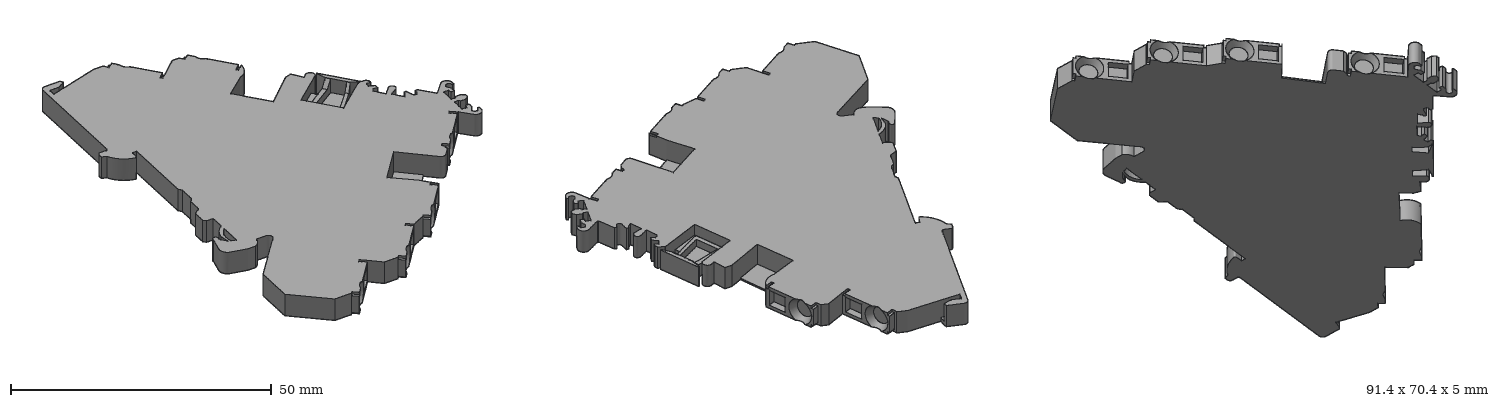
import cadquery as cq
import math

THICKNESS = 5.0
WEB = 0.4
FLANK_ANGLE = 40
FLANK_COS = math.cos(math.radians(FLANK_ANGLE))
FLANK_SIN = math.sin(math.radians(FLANK_ANGLE))

FACE_LENGTH = 11.4
LIP_DEPTH = 1.5
LIP_WIDTH = 0.55
LIP_RELIEF = 0.55
NICK_DEPTH = 1.6
TOOL_HOLE_START = 0.7
TOOL_HOLE_LENGTH = 3.8
TOOL_HOLE_HEIGHT = 3.5
TOOL_HOLE_DEPTH = 1.5
FUNNEL_CENTRE = 8.2
FUNNEL_MOUTH_R = 2.7
FUNNEL_FLOOR_R = 1.8
FUNNEL_DEPTH = 1.5

RIGHT, LEFT = 1, -1
TOP_TIER = (RIGHT, (12.5, 58.7))
UPPER_TIER = (RIGHT, (31.1, 43.0))
MIDDLE_TIER = (RIGHT, (40.2, 31.7))
LOWER_TIER = (RIGHT, (45.9, 17.7))
LEFT_MIDDLE_TIER = (LEFT, (-40.2, 31.7))
LEFT_LOWER_TIER = (LEFT, (-45.5, 17.9))
TIERS = [TOP_TIER, UPPER_TIER, MIDDLE_TIER, LOWER_TIER, LEFT_MIDDLE_TIER, LEFT_LOWER_TIER]

RIGHT_POCKET = [(12.5, 52.8), (19.3, 47.5), (15.4, 42.9), (8.7, 48.5)]
LEFT_POCKET = [(-28.1, 36.7), (-21.6, 42.0), (-17.8, 37.8), (-24.4, 32.3)]

WINDOW_CORNER = (-21.1, 49.4)
WINDOW_WIDTH = 8.6
WINDOW_MOUTH = -0.9
WINDOW_DEPTH = 8.8
WINDOW_FLOOR = 2.6
MOUTH_GAP_DEPTH = 2.65
PLATE_MOUTH = -0.55
PLATE_END = 8.3
PLATE_TOP = 2.9
RECESS_END = 7.4
RECESS_FLOOR = 1.3
CAP_OUTER = -1.4
CAP_INNER = -0.5
CAP_TOP = 4.6
RAMP_LENGTH = 1.55

HEAD_FLOOR_Y = 67.3
HEAD_ROOT_Y = HEAD_FLOOR_Y - 0.9

SLIT_FLOOR = 0.9
CORNER_SLIT = [(-44.5, 7.0), (-43.5, 5.5), (-43.5, 3.4), (-42.0, 3.4), (-43.1, 7.4)]


def arc(middle, end):
    """Outline step: an arc through middle to end."""
    return (middle, end)


def trace(steps, plane="XY"):
    """Closed wire through points and arcs."""
    wire = cq.Workplane(plane).moveTo(*steps[0])
    for step in steps[1:]:
        if isinstance(step[0], tuple):
            wire = wire.threePointArc(*step)
        else:
            wire = wire.lineTo(*step)
    return wire.close()


def prism(steps, bottom=0, top=THICKNESS):
    return trace(steps).extrude(top - bottom).translate((0, 0, bottom))


def box(x0, x1, y0, y1, z0, z1):
    return cq.Workplane("XY").box(x1 - x0, y1 - y0, z1 - z0, centered=False).translate((x0, y0, z0))


def tier_point(tier, back, depth):
    """Point 'back' from the tip along the face and 'depth' below the face."""
    side, (x, y) = tier
    return (x - side * (back * FLANK_COS + depth * FLANK_SIN), y + back * FLANK_SIN - depth * FLANK_COS)


def tier_steps(tier):
    """Upper end, tip and lip root of a wire-entry face."""
    return [tier_point(tier, FACE_LENGTH, 0), tier[1], tier_point(tier, 0, LIP_DEPTH)]


def outline():
    """Clockwise edge of the plate, with the side pockets and the corner slit left open."""
    right_flank = [
        (3.8, HEAD_FLOOR_Y),
        *tier_steps(TOP_TIER),
        (12.25, 57.9), (13.2, 57.9), (14.7, 56.6), arc((15.0, 55.9), (14.7, 55.2)),
        *RIGHT_POCKET[:0:-1],
        *tier_steps(UPPER_TIER),
        (30.25, 41.5),
        *tier_steps(MIDDLE_TIER),
        (39.3, 30.5), (39.3, 27.5),
        *tier_steps(LOWER_TIER),
        (44.9, 16.6), (44.9, 12.9), (38.5, 5.6), (30.5, 5.6),
    ]
    latch_foot = [
        (21.4, 13.4), arc((20.4, 13.7), (19.8, 12.9)),
        (19.8, 10.7), arc((21.0, 10.2), (21.75, 9.3)),
        (21.75, 7.7), (20.9, 4.2), arc((20.2, 3.1), (18.8, 2.8)),
        (15.8, 3.6), arc((15.1, 4.1), (15.8, 4.7)),
        (16.4, 4.75), (17.55, 5.8),
    ]
    underside = [
        (15.5, 5.4), arc((14.2, 5.85), (12.5, 7.3)), (9.6, 7.3),
        (9.6, 5.85), (9.05, 5.3), (6.4, 5.3), (5.3, 6.7), (2.5, 6.7),
        (1.6, 7.3), (-1.6, 7.3), (-2.4, 6.8), (-17.4, 6.8),
    ]
    fixed_foot = [
        (-17.4, 5.85), (-16.0, 5.8), arc((-15.7, 5.7), (-15.6, 5.3)),
        arc((-16.9, 2.65), (-18.9, 1.0)), (-19.3, 0), (-20.1, 0), (-20.7, 0.3),
        (-20.7, 2.0), (-20.9, 2.3),
    ]
    left_flank = [
        (-44.2, 2.3), arc((-44.9, 2.6), (-45.15, 3.2)),
        (-45.15, 6.7), *CORNER_SLIT[:-1],
        (-45.15, 14.3), (-45.15, 16.45),
        *reversed(tier_steps(LEFT_LOWER_TIER)),
        (-39.8, 28.6), (-39.8, 30.2),
        *reversed(tier_steps(LEFT_MIDDLE_TIER)),
        arc((-29.7, 38.7), LEFT_POCKET[0]),
        *LEFT_POCKET[:1:-1],
        (-23.5, 44.1), (-23.95, 45.5), (-21.7, 47.2), (-22.3, 47.8),
        arc((-22.2, 49.2), WINDOW_CORNER),
        (-14.7, 55.3),
    ]
    marker_catches = [
        (-14.6, 56.7), (-14.1, 57.1), (-13.4, 57.1), (-13.6, 56.2), (-12.6, 56.0),
        (-12.2, 57.3), (-11.2, 57.3), (-11.4, 56.4), (-10.8, 55.9), (-8.7, 57.6),
        (-10.1, 58.95), arc((-10.05, 60.2), (-9.1, 60.1)), (-8.0, 58.4), (-5.9, 60.1),
        (-6.8, 60.7), (-7.2, 60.7), (-7.4, 61.2), (-5.85, 61.8),
        arc((-5.5, 62.3), (-6.0, 62.9)), (-6.7, 62.9), (-6.7, 63.4),
        (-3.8, 65.9), (-3.8, HEAD_FLOOR_Y),
    ]
    return right_flank + latch_foot + underside + fixed_foot + left_flank + marker_catches


def head():
    """Centre post with a hook on each side."""
    post = prism([
        (-0.55, HEAD_ROOT_Y), (-0.55, 68.2), (-0.9, 68.5), (-0.9, 69.65), (-0.4, 70.4), (0.4, 70.4),
        (0.9, 69.65), (0.9, 68.5), (0.55, 68.2), (0.55, HEAD_ROOT_Y),
    ])
    hook = prism([
        (1.8, HEAD_ROOT_Y), (3.4, HEAD_FLOOR_Y), (3.4, 68.4), (2.65, 68.5), (2.65, 69.3), (3.7, 69.3),
        (4.4, 68.7), arc((5.2, 68.9), (5.0, 69.8)), (4.6, 70.0), (4.6, 70.4), (5.5, 70.4),
        arc((6.4, 69.65), (6.1, 68.3)), (3.8, 66.2),
    ])
    return post.union(hook).union(hook.mirror("YZ"))


def tier_cuts():
    """Cuts of one right-hand face, with the face along +x from the origin."""
    middle = THICKNESS / 2
    half_hole = TOOL_HOLE_HEIGHT / 2
    lip_start = FACE_LENGTH - LIP_WIDTH
    relief_top = THICKNESS - LIP_RELIEF
    cuts = box(TOOL_HOLE_START, TOOL_HOLE_START + TOOL_HOLE_LENGTH, -TOOL_HOLE_DEPTH, 0,
               middle - half_hole, middle + half_hole)
    funnel = cq.Solid.makeCone(FUNNEL_MOUTH_R, FUNNEL_FLOOR_R, FUNNEL_DEPTH,
                               cq.Vector(FUNNEL_CENTRE, 0, middle), cq.Vector(0, -1, 0))
    cuts = cuts.union(cq.Workplane(funnel))
    cuts = cuts.union(box(0, LIP_WIDTH, -NICK_DEPTH, 0, relief_top, THICKNESS))
    for bottom in (0, relief_top):
        cuts = cuts.union(box(lip_start, FACE_LENGTH, -LIP_DEPTH, 0, bottom, bottom + LIP_RELIEF))
    return cuts.rotate((0, 0, 0), (0, 0, 1), -FLANK_ANGLE)


def cut_tiers(body):
    right_cuts = tier_cuts()
    left_cuts = right_cuts.mirror("YZ")
    for tier in TIERS:
        cuts = right_cuts if tier[0] == RIGHT else left_cuts
        x, y = tier_point(tier, FACE_LENGTH, 0)
        body = body.cut(cuts.translate((x, y, 0)))
    return body


def window_point(u, v):
    x, y = WINDOW_CORNER
    return (x + u * FLANK_COS + v * FLANK_SIN, y + u * FLANK_SIN - v * FLANK_COS)


def window_prism(local_steps, bottom, top):
    return prism([window_point(u, v) for u, v in local_steps], bottom, top)


def window_rectangle(depth):
    return [(0, WINDOW_MOUTH), (WINDOW_WIDTH, WINDOW_MOUTH), (WINDOW_WIDTH, depth), (0, depth)]


def ramp_wedge():
    """Wedge across the whole window, falling from the cap to the plate."""
    x, y = WINDOW_CORNER
    side_plane = cq.Plane(
        origin=(x, y, 0),
        xDir=(FLANK_SIN, -FLANK_COS, 0),
        normal=(-FLANK_COS, -FLANK_SIN, 0),
    )
    profile = [(PLATE_MOUTH, PLATE_TOP), (PLATE_MOUTH, CAP_TOP), (PLATE_MOUTH + RAMP_LENGTH, PLATE_TOP)]
    return trace(profile, side_plane).extrude(-WINDOW_WIDTH)


def add_window(body):
    """Recessed window with a tapered, hollowed plate carrying the cap."""
    plate = [(1.8, PLATE_MOUTH), (6.9, PLATE_MOUTH), (8.0, PLATE_END), (1.0, PLATE_END)]
    recess = [(2.9, PLATE_MOUTH), (6.1, PLATE_MOUTH), (7.1, RECESS_END), (2.0, RECESS_END)]
    cap = [
        (-0.2, CAP_OUTER), (9.05, CAP_OUTER), (9.05, -1.1), (7.95, -0.8), (6.9, CAP_INNER),
        (1.8, CAP_INNER), (0.6, -0.9), (-0.2, -1.1),
    ]
    body = body.cut(window_prism(window_rectangle(WINDOW_DEPTH), WINDOW_FLOOR, THICKNESS))
    body = body.cut(window_prism(window_rectangle(MOUTH_GAP_DEPTH), 0, THICKNESS))
    body = body.union(window_prism(plate, 0, PLATE_TOP))
    body = body.union(window_prism(plate, 0, CAP_TOP).intersect(ramp_wedge()))
    body = body.cut(window_prism(recess, RECESS_FLOOR, THICKNESS))
    return body.union(window_prism(cap, 0, CAP_TOP))


def spring_eye():
    """Opening above the curved latch spring."""
    return prism([(13.6, 7.3), (18.1, 7.3), (17.7, 6.3), arc((15.45, 6.2), (13.6, 7.3))])


body = prism(outline()).union(head())
body = cut_tiers(body)
for pocket in (RIGHT_POCKET, LEFT_POCKET):
    body = body.union(prism(pocket, 0, WEB))
body = body.union(prism(CORNER_SLIT, 0, SLIT_FLOOR))
body = add_window(body)
result = body.cut(spring_eye())